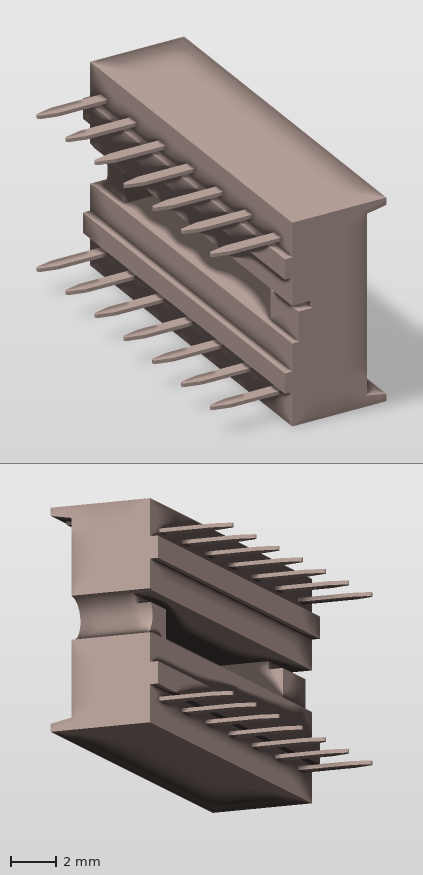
import cadquery as cq

length = 17.78
height = 10.15
total_depth = 8.25
body_depth = 4.8
lip_depth = 1.0

back_y = total_depth / 2
rear_face_y = back_y - lip_depth
seating_y = back_y - body_depth
pin_tip_y = -total_depth / 2

lip_tip_thickness = 0.37
lip_root_thickness = 0.55

liner_setback = 0.32
liner_thickness = 0.16
liner_end_inset = 1.0

rib_width = 1.01
rib_height = 0.37
rib_offset = 2.85

opening_height = 1.88
bridge_length = 2.49
bridge_recess = 0.32
groove_width = 0.37
groove_depth = 1.01

notch_radius = 1.0

pins_per_row = 7
pin_pitch = length / pins_per_row
row_spacing = 3 * pin_pitch
pin_width = 0.59
pin_thickness = 0.18
pin_taper = 0.89
pin_tip_width = 0.23
pin_tip_rounding = 0.1
pin_embedment = 2.85


def block(x_size, y_from, y_to, z_from, z_to):
    """Box centred on X between the given Y and Z limits."""
    center = (0, (y_from + y_to) / 2, (z_from + z_to) / 2)
    return cq.Workplane("XY").box(x_size, abs(y_to - y_from), abs(z_to - z_from)).translate(center)


def prism_along_x(points, x_size):
    """Extrude a (Y, Z) outline symmetrically along X."""
    return cq.Workplane("YZ").polyline(points).close().extrude(x_size / 2, both=True)


def mirrored_in_z(shape):
    """The shape together with its mirror image below the XY plane."""
    return shape.union(shape.mirror("XY"))


def make_lips():
    edge_z = height / 2
    slope = (lip_root_thickness - lip_tip_thickness) / lip_depth
    tip_z = edge_z - lip_tip_thickness
    root_z = edge_z - lip_root_thickness
    lip = prism_along_x(
        [(back_y, edge_z), (back_y, tip_z), (rear_face_y, root_z), (rear_face_y, edge_z)], length
    )
    liner_y = back_y - liner_setback
    liner_z = tip_z - slope * liner_setback
    liner = prism_along_x(
        [
            (liner_y, liner_z),
            (liner_y, liner_z - liner_thickness),
            (rear_face_y, root_z - liner_thickness),
            (rear_face_y, root_z),
        ],
        length - 2 * liner_end_inset,
    )
    return mirrored_in_z(lip.union(liner))


def make_body():
    body = block(length, rear_face_y, seating_y, -height / 2, height / 2)
    rib = block(
        length, seating_y, seating_y - rib_height, rib_offset - rib_width / 2, rib_offset + rib_width / 2
    )
    return body.union(make_lips()).union(mirrored_in_z(rib))


def cut_opening(body):
    half_opening = opening_height / 2
    opening = block(length - 2 * bridge_length, rear_face_y, seating_y, -half_opening, half_opening)
    recess = block(length, seating_y + bridge_recess, seating_y, -half_opening, half_opening)
    groove = block(length, seating_y + groove_depth, seating_y, half_opening - groove_width, half_opening)
    notch = (
        cq.Workplane("XZ", origin=(-length / 2, rear_face_y, 0)).circle(notch_radius).extrude(body_depth)
    )
    return body.cut(opening).cut(recess).cut(groove).cut(notch)


def make_pin():
    """Flat pin with a tapered, rounded tip, centred on X and Z."""
    taper_y = pin_tip_y + pin_taper
    root_y = seating_y + pin_embedment
    shoulder_y = pin_tip_y + pin_tip_rounding
    return (
        cq.Workplane("XY", origin=(0, 0, -pin_thickness / 2))
        .moveTo(-pin_width / 2, root_y)
        .lineTo(-pin_width / 2, taper_y)
        .lineTo(-pin_tip_width / 2, shoulder_y)
        .threePointArc((0, pin_tip_y), (pin_tip_width / 2, shoulder_y))
        .lineTo(pin_width / 2, taper_y)
        .lineTo(pin_width / 2, root_y)
        .close()
        .extrude(pin_thickness)
    )


def add_pins(body):
    pin = make_pin()
    for index in range(pins_per_row):
        x = (index - (pins_per_row - 1) / 2) * pin_pitch
        for z in (-row_spacing / 2, row_spacing / 2):
            body = body.union(pin.translate((x, 0, z)))
    return body


result = add_pins(cut_opening(make_body()))